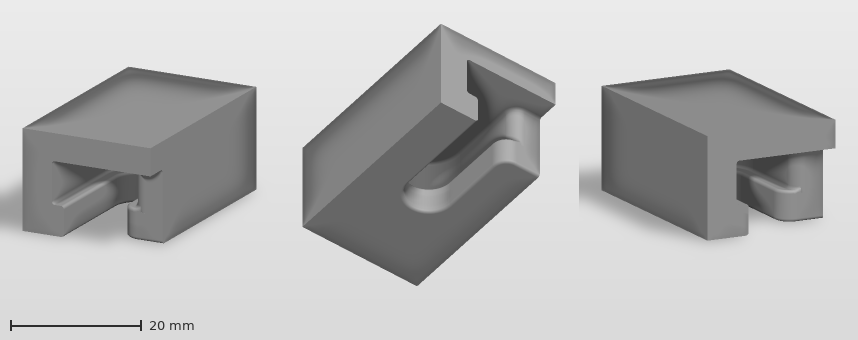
import cadquery as cq

width = 22.0
length = 35.0
height = 16.5

slot_x = width / 2
slot_end_y = length / 2
side_wall_y = 4.0
head_radius = 6.0
head_corner = 2.0
neck_radius = 3.92
neck_corner = 2.6
lip_height = 4.97
head_top = 11.97
tip_x = 18.2
edge_round = 0.5
overrun = 3.5
tolerance = 0.005


def slot_cutter(radius, corner, bottom, top):
    """Round-ended slot with a rounded corner leading to the open right side."""
    left = slot_x - radius
    right = slot_x + radius
    outer_x = width + overrun
    diagonal = corner * (1 - 0.5 ** 0.5)
    return (
        cq.Workplane("XY", origin=(0, 0, bottom))
        .moveTo(left, -overrun)
        .lineTo(left, slot_end_y)
        .threePointArc((slot_x, slot_end_y + radius), (right, slot_end_y))
        .lineTo(right, side_wall_y + corner)
        .threePointArc((right + diagonal, side_wall_y + diagonal), (right + corner, side_wall_y))
        .lineTo(outer_x, side_wall_y)
        .lineTo(outer_x, -overrun)
        .close()
        .extrude(top - bottom)
    )


block = cq.Workplane("XY").box(width, length, height, centered=False)

head = slot_cutter(head_radius, head_corner, lip_height, head_top).faces("<Z or >Z").edges().fillet(edge_round)

neck = slot_cutter(neck_radius, neck_corner, -overrun, lip_height + edge_round)

body = block.cut(head).cut(neck)

rim_box = cq.selectors.BoxSelector(
    (slot_x - neck_radius - tolerance, tolerance, -tolerance),
    (width - tolerance, length - tolerance, tolerance),
)
body = body.edges(rim_box).fillet(edge_round)

lip_box = cq.selectors.BoxSelector(
    (slot_x - neck_radius - tolerance, tolerance, lip_height - tolerance),
    (slot_x + neck_radius + tolerance, length - tolerance, lip_height + tolerance),
)
body = body.edges(lip_box).fillet(edge_round)

tip_zone = cq.Workplane("XY").box(width, length, height, centered=False).translate((tip_x, 0, 0))
tip_cut = slot_cutter(head_radius, head_corner, lip_height - edge_round, lip_height + edge_round)
result = body.cut(tip_cut.intersect(tip_zone))